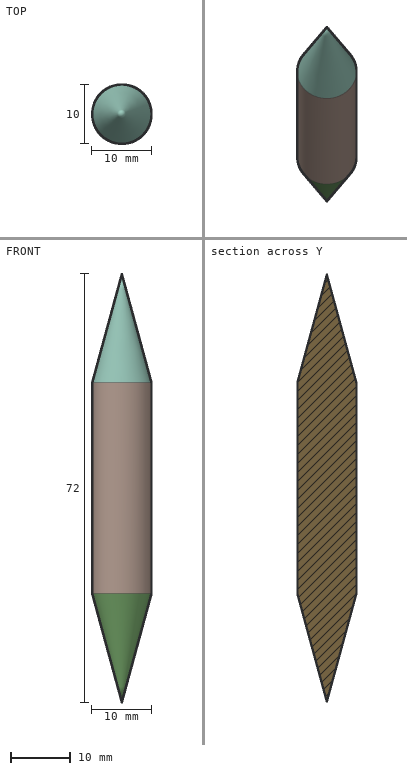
import cadquery as cq

total_length = 72.0
diameter = 10.0
body_length = 35.4

radius = diameter / 2
tip_z = total_length / 2
shoulder_z = body_length / 2

half_profile = (
    cq.Workplane("XZ")
    .moveTo(0, -tip_z)
    .lineTo(radius, -shoulder_z)
    .lineTo(radius, shoulder_z)
    .lineTo(0, tip_z)
    .close()
)

result = half_profile.revolve(360, (0, 0, 0), (0, 1, 0))